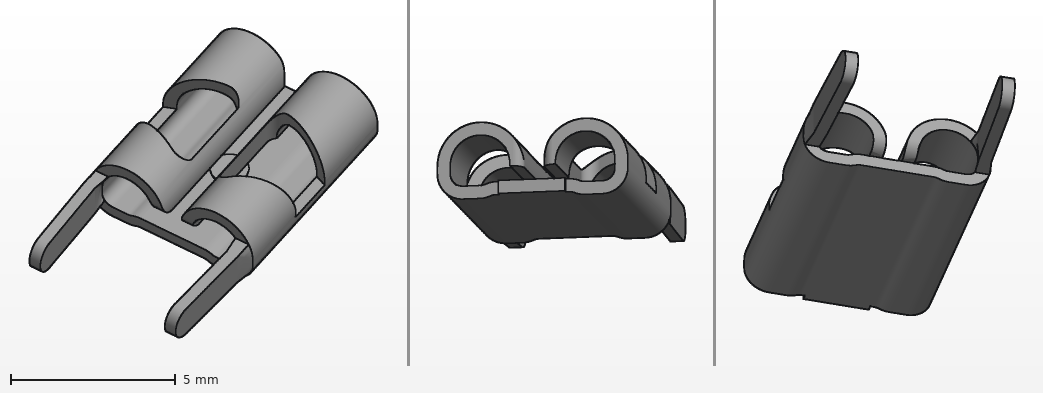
import cadquery as cq
import math

wall = 0.4
bend_inner = 0.39
bend_outer = bend_inner + wall

half_width = 2.94
body_length = 6.84
barrel_radius = 1.32
barrel_bore = barrel_radius - wall
barrel_x = half_width - barrel_radius
barrel_z = 1.04
lip_angle = math.radians(3.7)
floor_bend_x = half_width - bend_outer
trough_x = 1.61
floor_rise = 0.1

lip_front_round = 0.54
lip_back_round = 0.3

window_y = 3.15
window_sill = 0.89
window_inner_x = 0.54
window_outer_half = 0.79
window_inner_half = 1.77
window_round = 0.37

button_height = 0.1
button_top_dia = 1.19
button_base_dia = 1.13

tongue_half_width = 1.03
tongue_length = 0.17

total_length = 10.82
lead_length = total_length - body_length - tongue_length
lead_z = 1.09
lead_half_height = 0.56
lead_tip_half_height = 0.54
lead_tip_round = 0.53
lead_outer_x = 2.79
lead_tip_outer_x = 2.66
lead_flat_start = 0.62
lead_taper_start = 1.31


def on_arc(cx, cz, radius, angle):
    """Point at an angle on a circle, measured from +X toward +Z."""
    return (cx + radius * math.cos(angle), cz + radius * math.sin(angle))


def half_body():
    """Constant section of the +X half: floor, jog, trough, side wall and curled lip."""
    jog_angle = math.acos(1 - floor_rise / (bend_inner + bend_outer))
    jog_run = (bend_inner + bend_outer) * math.sin(jog_angle)
    plate_x = trough_x - jog_run
    down = -math.pi / 2
    lip = math.pi + lip_angle

    def low_bend(radius, angle):
        return on_arc(trough_x, bend_outer, radius, down - angle)

    def high_bend(radius, angle):
        return on_arc(plate_x, floor_rise - bend_inner, radius, -down - angle)

    def corner(radius, angle):
        return on_arc(floor_bend_x, bend_outer, radius, angle)

    def barrel(radius, angle):
        return on_arc(barrel_x, barrel_z, radius, angle)

    section = (
        cq.Workplane("XZ")
        .moveTo(0, floor_rise)
        .lineTo(plate_x, floor_rise)
        .threePointArc(high_bend(bend_inner, jog_angle / 2), high_bend(bend_inner, jog_angle))
        .threePointArc(low_bend(bend_outer, jog_angle / 2), low_bend(bend_outer, 0))
        .lineTo(floor_bend_x, 0)
        .threePointArc(corner(bend_outer, down / 2), corner(bend_outer, 0))
        .lineTo(half_width, barrel_z)
        .threePointArc(barrel(barrel_radius, -down), barrel(barrel_radius, lip))
        .lineTo(*barrel(barrel_bore, lip))
        .threePointArc(barrel(barrel_bore, -down), barrel(barrel_bore, 0))
        .lineTo(*corner(bend_inner, 0))
        .threePointArc(corner(bend_inner, down / 2), corner(bend_inner, down))
        .lineTo(trough_x, wall)
        .threePointArc(low_bend(bend_inner, jog_angle / 2), low_bend(bend_inner, jog_angle))
        .threePointArc(high_bend(bend_outer, jog_angle / 2), high_bend(bend_outer, 0))
        .lineTo(0, floor_rise + wall)
        .close()
    )
    return section.extrude(-body_length)


def corner_waste(plane, u, v, u_step, v_step, radius):
    """Concave-triangle outline that rounds a corner at (u, v); steps point into the material."""
    mid = radius * (1 - math.sqrt(0.5))
    return (
        cq.Workplane(plane)
        .moveTo(u, v)
        .lineTo(u + u_step * radius, v)
        .threePointArc((u + u_step * mid, v + v_step * mid), (u, v + v_step * radius))
        .close()
    )


def lip_rounding():
    """Waste removed from the front and back corners of the lip."""
    lip_z = barrel_z - barrel_radius * math.sin(lip_angle)
    lip_x = half_width - 2 * barrel_radius
    front = corner_waste("YZ", 0, lip_z, 1, 1, lip_front_round).extrude(barrel_x)
    back = corner_waste("XY", lip_x, body_length, 1, -1, lip_back_round).extrude(barrel_z + barrel_radius)
    return front.union(back.translate((0, 0, floor_rise + wall)))


def window():
    """Tapered opening that narrows toward the side wall and stops at the sill."""
    return (
        cq.Workplane("XY", origin=(0, window_y, window_sill))
        .polyline([
            (window_inner_x, -window_inner_half),
            (half_width, -window_outer_half),
            (half_width, window_outer_half),
            (window_inner_x, window_inner_half),
        ])
        .close()
        .extrude(barrel_radius * 2)
        .edges("|Z and <X")
        .fillet(window_round)
    )


def lead_root():
    """Transition from the curved side wall to the flat lead."""
    low = lead_z - lead_half_height
    high = lead_z + lead_half_height

    def wall_x(bend, barrel, z):
        if z < bend_outer:
            return floor_bend_x + math.sqrt(bend ** 2 - (z - bend_outer) ** 2)
        if z < barrel_z:
            return barrel_x + barrel
        return barrel_x + math.sqrt(barrel ** 2 - (z - barrel_z) ** 2)

    def outer(z):
        return (wall_x(bend_outer, barrel_radius, z), z)

    def inner(z):
        return (wall_x(bend_inner, barrel_bore, z), z)

    flat_inner_x = lead_outer_x - wall
    wall_middle = (bend_outer + barrel_z) / 2
    heights = [low, (low + bend_outer) / 2, wall_middle, (high + barrel_z) / 2, high]
    curved = (
        cq.Workplane("XZ")
        .moveTo(*outer(low))
        .spline([outer(z) for z in heights[1:]], includeCurrent=True)
        .lineTo(*inner(high))
        .spline([inner(z) for z in reversed(heights[:-1])], includeCurrent=True)
        .close()
    )
    flat_points = [(lead_outer_x, low), (lead_outer_x, high), (flat_inner_x, high), (flat_inner_x, low)]
    return curved.workplane(offset=lead_flat_start).polyline(flat_points).close().loft(ruled=True)


def lead_blade():
    """Flat lead: leaning slightly inward in plan, tapered and rounded at the tip in side view."""
    plan = (
        cq.Workplane("XY")
        .polyline([
            (lead_outer_x, -lead_flat_start),
            (lead_tip_outer_x, -lead_length),
            (lead_tip_outer_x - wall, -lead_length),
            (lead_outer_x - wall, -lead_flat_start),
        ])
        .close()
        .extrude(lead_z + 2 * lead_half_height)
    )
    side = (
        cq.Workplane("YZ", origin=(0, 0, lead_z))
        .polyline([
            (-lead_flat_start, -lead_half_height),
            (-lead_flat_start, lead_half_height),
            (-lead_taper_start, lead_half_height),
            (-lead_length, lead_tip_half_height),
            (-lead_length, -lead_tip_half_height),
            (-lead_taper_start, -lead_half_height),
        ])
        .close()
        .extrude(half_width)
        .edges("|X and <Y")
        .fillet(lead_tip_round)
    )
    return plan.intersect(side)


def tongue():
    return cq.Workplane("XY", origin=(0, body_length, floor_rise)).box(
        2 * tongue_half_width, tongue_length, wall, centered=(True, False, False)
    )


def button():
    return (
        cq.Workplane("XY", origin=(0, window_y, floor_rise + wall))
        .circle(button_base_dia / 2)
        .workplane(offset=button_height)
        .circle(button_top_dia / 2)
        .loft()
    )


half = half_body().cut(lip_rounding()).cut(window())
half = half.union(lead_root()).union(lead_blade())
result = half.union(half.mirror("YZ")).union(tongue()).union(button())